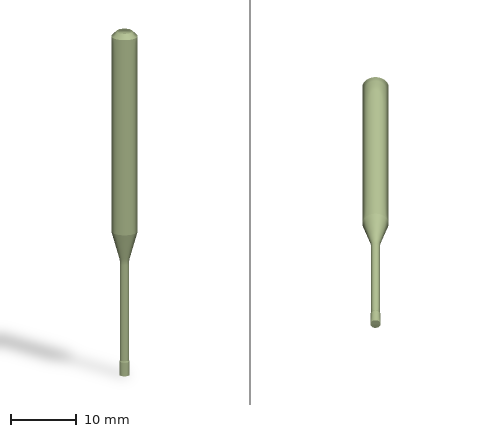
import cadquery as cq
import math

TOTAL_LENGTH = 55.0
TIP_LENGTH = 2.2
NECK_TOP = 17.9

SHANK_RADIUS = 4.0 / 2
TIP_RADIUS = 1.55 / 2
NECK_RADIUS = 1.4 / 2

SHANK_CHAMFER = 0.75
TIP_STEP_HEIGHT = 0.15
BLEND_HEIGHT = 0.8
TAPER_ANGLE = math.radians(15.7)


def make_tip():
    """Cylindrical cutting tip at the lower end."""
    return cq.Workplane("XY").circle(TIP_RADIUS).extrude(TIP_LENGTH)


def make_shank():
    """Shank with a chamfered top, a conical taper and a slim neck, revolved about Z."""
    blend_radius = BLEND_HEIGHT / math.sin(TAPER_ANGLE)
    blend_top_radius = NECK_RADIUS + blend_radius * (1 - math.cos(TAPER_ANGLE))
    blend_top = NECK_TOP + BLEND_HEIGHT
    shank_bottom = blend_top + (SHANK_RADIUS - blend_top_radius) / math.tan(TAPER_ANGLE)
    return (
        cq.Workplane("XZ")
        .moveTo(0, TIP_LENGTH)
        .lineTo(TIP_RADIUS, TIP_LENGTH)
        .lineTo(NECK_RADIUS, TIP_LENGTH + TIP_STEP_HEIGHT)
        .lineTo(NECK_RADIUS, NECK_TOP)
        .tangentArcPoint((blend_top_radius, blend_top), relative=False)
        .lineTo(SHANK_RADIUS, shank_bottom)
        .lineTo(SHANK_RADIUS, TOTAL_LENGTH - SHANK_CHAMFER)
        .lineTo(SHANK_RADIUS - SHANK_CHAMFER, TOTAL_LENGTH)
        .lineTo(0, TOTAL_LENGTH)
        .close()
        .revolve(360, (0, 0, 0), (0, 1, 0))
    )


tip = make_tip()
shank = make_shank()

result = cq.Compound.makeCompound([tip.val(), shank.val()])